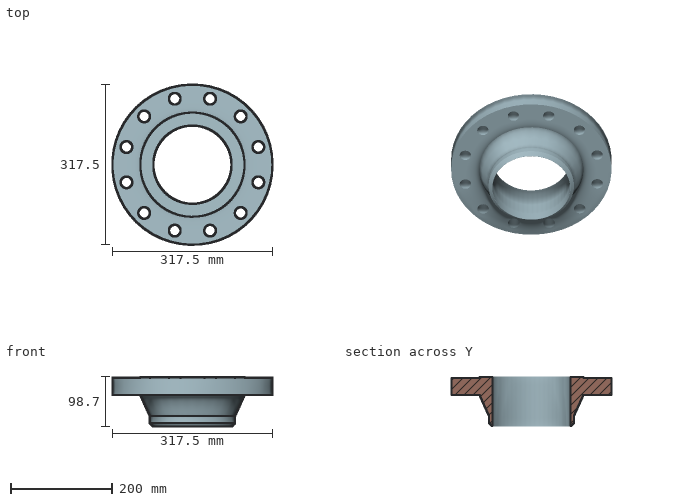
import cadquery as cq

flange_diameter = 317.5
flange_thickness = 34.5
face_diameter = 206.5
face_height = 2.0
total_height = 98.7
bore_diameter = 154.3

neck_diameter = 169.2
neck_top = 21.3
flare_diameter = 206.5
bevel_height = 7.0
bevel_width = 7.0

bolt_count = 12
bolt_circle_diameter = 270.2
bolt_hole_diameter = 22.5
first_bolt_angle = 360 / bolt_count / 2

flange_top = total_height - face_height
flange_bottom = flange_top - flange_thickness


def flange_body():
    """Revolve the half section of flange, raised face and hub about Z."""
    bore_radius = bore_diameter / 2
    neck_radius = neck_diameter / 2
    return (
        cq.Workplane("XZ")
        .moveTo(bore_radius, 0)
        .lineTo(neck_radius - bevel_width, 0)
        .lineTo(neck_radius, bevel_height)
        .lineTo(neck_radius, neck_top)
        .lineTo(flare_diameter / 2, flange_bottom)
        .lineTo(flange_diameter / 2, flange_bottom)
        .lineTo(flange_diameter / 2, flange_top)
        .lineTo(face_diameter / 2, flange_top)
        .lineTo(face_diameter / 2, total_height)
        .lineTo(bore_radius, total_height)
        .close()
        .revolve(360, (0, 0, 0), (0, 1, 0))
    )


def bolt_holes():
    """Ring of cylinders that cut through the flange thickness."""
    return (
        cq.Workplane("XY", origin=(0, 0, flange_bottom))
        .polarArray(bolt_circle_diameter / 2, first_bolt_angle, 360, bolt_count)
        .circle(bolt_hole_diameter / 2)
        .extrude(flange_thickness)
    )


result = flange_body().cut(bolt_holes())